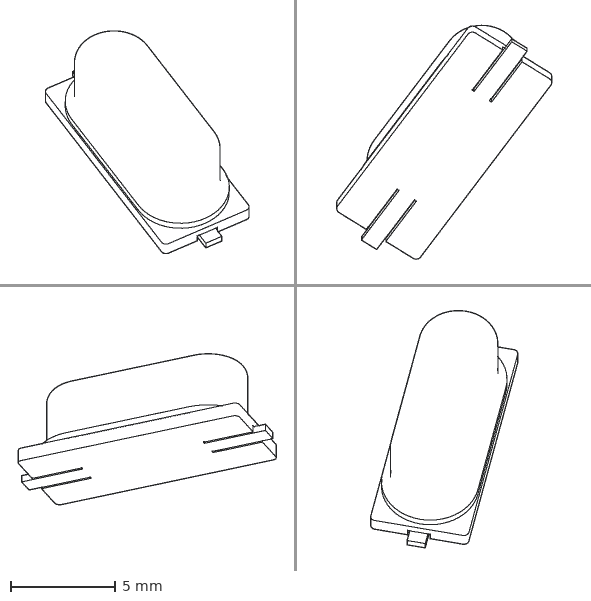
import cadquery as cq
import math

total_length = 12.8
total_height = 4.3

end_center_spacing = 6.4
half_spacing = end_center_spacing / 2
body_radius = 1.91
top_fillet_radius = 0.51
cove_radius = 0.44
flange_radius = body_radius + cove_radius
flange_height = 0.36

base_length = 11.6
base_width = 4.83
base_height = 0.69
base_corner_radius = 0.25

lead_width = 0.9
lead_height = 0.35
lead_side_gap = 0.12
groove_width = lead_width + 2 * lead_side_gap
groove_inner_end = half_spacing


def end_block(outer_end, width, height):
    """Box on the bottom plane, centred in Y, from the grooves' inner end to outer_end in X."""
    length = outer_end - groove_inner_end
    return (
        cq.Workplane("XY", origin=(groove_inner_end, 0, 0))
        .box(length, width, height, centered=(False, True, False))
    )


def at_both_ends(block):
    """The block together with its mirror image at the -X end."""
    return block.union(block.mirror("YZ"))


def make_base():
    """Plate with rounded vertical corners and a blind lead groove at each end."""
    plate = (
        cq.Workplane("XY")
        .box(base_length, base_width, base_height, centered=(True, True, False))
        .edges("|Z")
        .fillet(base_corner_radius)
    )
    return plate.cut(at_both_ends(end_block(base_length / 2, groove_width, lead_height)))


def half_profile(workplane):
    """Can section from its vertical centre line out to the flange rim."""
    flange_top = base_height + flange_height
    cove_top = flange_top + cove_radius
    fillet_bottom = total_height - top_fillet_radius
    diagonal = math.sqrt(0.5)
    cove_middle = (flange_radius - cove_radius * diagonal, cove_top - cove_radius * diagonal)
    fillet_center_radius = body_radius - top_fillet_radius
    fillet_middle = (
        fillet_center_radius + top_fillet_radius * diagonal,
        fillet_bottom + top_fillet_radius * diagonal,
    )
    return (
        workplane.moveTo(0, base_height)
        .lineTo(flange_radius, base_height)
        .lineTo(flange_radius, flange_top)
        .threePointArc(cove_middle, (body_radius, cove_top))
        .lineTo(body_radius, fillet_bottom)
        .threePointArc(fillet_middle, (fillet_center_radius, total_height))
        .lineTo(0, total_height)
        .close()
    )


def make_can():
    """One section swept straight along both sides and turned around both ends."""
    side = half_profile(cq.Workplane("YZ", origin=(-half_spacing, 0, 0))).extrude(end_center_spacing)
    straight = side.union(side.mirror("XZ"))
    round_end = (
        half_profile(cq.Workplane("YZ", origin=(half_spacing, 0, 0)))
        .revolve(180, (0, 0, 0), (0, -1, 0))
    )
    return straight.union(at_both_ends(round_end))


leads = at_both_ends(end_block(total_length / 2, lead_width, lead_height))

result = make_base().union(leads).union(make_can())